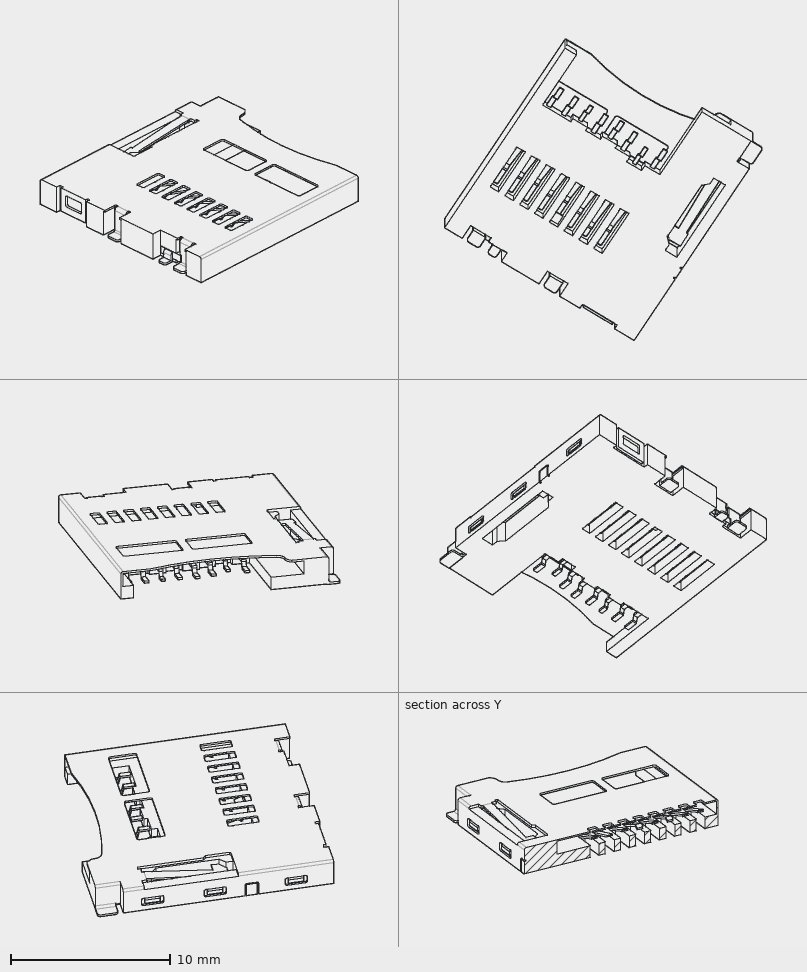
import cadquery as cq


WIDTH = 14.1
LENGTH = 15.2
HEIGHT = 1.88
SHEET = 0.13
FOLD_RADIUS = 0.15
BASE_BOTTOM = 0.04
FLOOR_TOP = 0.88
CAVITY_TOP = HEIGHT - SHEET
FOOT_THICKNESS = 0.15
PICK_MARGIN = 0.01

RIGHT_EDGE_Y = 14.2
STEP_X = 0.77
STEP_Y = 13.57
LIP_END_X = 4.55
MOUTH_LOW_POINT = (8.0, 13.59)
MOUTH_LEFT = (3.9, 14.09)
MOUTH_HOLLOW_MIDDLE = (3.59, 14.3)
MOUTH_INFLECTION = (3.5, 14.6)
MOUTH_CROWN_MIDDLE = (3.42, 14.95)
MOUTH_CROWN_END = (3.2, LENGTH)
MOUTH_RIGHT = (12.15, RIGHT_EDGE_Y)

CAVITY_LEFT = 2.4
CAVITY_RIGHT = WIDTH - SHEET
FLOOR_OPENING_RIGHT = 13.26
CAVITY_REAR = 2.0

CONTACT_COUNT = 8
FIRST_CONTACT_X = 5.12
PITCH = 1.1
STANDARD_TIP_Y = 4.96
TIP_Y = {1: 4.52, 3: 5.15, 5: 5.15}
STANDARD_FLOOR_EDGE_Y = 10.24
FLOOR_EDGE_Y = {1: 9.85, 3: 10.48, 5: 10.48}
STANDARD_TAIL_END_Y = 11.8
TAIL_END_Y = {1: 11.29, 3: 11.95}
TAIL_WIDTH = 0.31
NARROW_TAIL_WIDTH = 0.26
NARROW_TAILS = (1, 5)
BEAM_WIDTH = 0.42
BEAM_THICKNESS = 0.12
BEAM_TOP = 1.4
BEAM_CREST = 0.4
TIP_DROP = 0.27
TIP_RADIUS = 0.5
BEAM_ROOT_Y = 7.0
TAIL_EXIT_Z = 0.45
TAIL_STEP = 0.1
TAIL_BEND_DISTANCE = 0.8
SWITCH_ARM_INDEX = 3
SWITCH_ARM_END_Y = 4.47
SWITCH_ARM_END_TOP = 0.7
SWITCH_ARM_CREST_Y = 3.98

SLOT_WIDTH = 0.62
SLOT_REAR = 3.72
SLOT_FRONT = 5.71
SLOT_CORNER = 0.1
FLOOR_SLOT_REAR = SLOT_REAR + SHEET
WINDOW_REAR = 9.79
WINDOW_FRONT = 11.6
WINDOW_SPANS = ((4.73, 8.65), (9.24, 13.18))
WINDOW_CORNER = 0.15

POCKET_REAR = 6.14
POCKET_FRONT = 12.2
POCKET_STRIP_X = 0.7
POCKET_WALL_X = 1.94
POCKET_NARROW_X = 2.07
POCKET_WIDE_X = 2.26
POCKET_STEP_Y = 7.95
POCKET_WELL_X = 1.56
COVER_LEDGE_X = 1.88
COVER_LEDGE_Y = 12.02
FINGER_ROOT_Y = 11.9
FINGER_END_Y = 6.54
FINGER_HOOK_Y = 7.47
FINGER_END_TOP = 1.25
FINGER_SPAN = (0.83, 1.54)
FINGER_TAPER_X = 1.4
POCKET_FLOOR = 1.7
WELL_STEP = 0.05
WELL_FRONT = 11.85
WELL_SHOULDER_Y = 11.41

LATCH_CENTRES_Y = (2.42, 7.64, 11.67)
LATCH_LENGTH = 1.42
LATCH_BOTTOM = 0.42
LATCH_TOP = 1.0
LATCH_CORNER = 0.12
LUG_LENGTH = 1.0
LUG_BOTTOM = 0.57
LUG_SLOPE_Z = 0.82
LUG_TOP = LATCH_TOP
LUG_FACE_X = 0.02
SIDE_TAB_SPAN_Y = (4.84, 5.72)
SIDE_TAB_GAP = 0.09
SIDE_TAB_TOP_GAP = 0.06

PANEL_NOTCH = (1.45, 4.04)
PANEL_NOTCH_DEPTH = 0.3
PANEL_SPAN = (1.7, 3.87)
PANEL_INSET = 0.12
PANEL_BOTTOM = 0.18
PANEL_HOLE_SPAN = (2.12, 3.5)
PANEL_HOLE_BOTTOM = 0.68
PANEL_HOLE_TOP = 1.48
LEG_WIDTH = 0.94
LEG_CENTRES_X = (6.31, 12.02)
LEG_NOTCH_WIDTH = 1.3
LEG_WALL_NOTCH_WIDTH = 1.53
LEG_NOTCH_DEPTH = 1.0
LEG_FACE_Y = 0.72
LEG_BEND_RADIUS = 0.23
LEG_HEEL = 0.1
FOOT_CORNER = 0.2
REAR_OPENING_SPAN = (5.64, 6.93)
SWITCH_NOTCH = (9.88, 11.6)
SWITCH_NOTCH_DEPTH = 0.68
SWITCH_BLOCK_SPAN = (9.92, 11.66)
SWITCH_BLOCK_BOTTOM = 0.25
SWITCH_BLOCK_TOP = 0.75
SWITCH_FOOT_SPAN = (10.31, 10.94)
SWITCH_BLOCK_FACE_Y = 0.66
SWITCH_FACE_Y = 0.52
SWITCH_BEND_RADIUS = 0.25

TAB_REAR = 13.88
TAB_CORNER = 0.2
TAB_BEND = 0.3
TAB_RELIEF_TOP = 0.22


def box(x0, x1, y0, y1, z0, z1):
    return cq.Workplane("XY").box(x1 - x0, y1 - y0, z1 - z0, centered=False).translate((x0, y0, z0))


def prism(points, z0, z1):
    return cq.Workplane("XY").workplane(offset=z0).polyline(points).close().extrude(z1 - z0)


def profile_yz(points, x0, x1):
    """Prism with its section in the YZ plane, running from x0 to x1."""
    return cq.Workplane("YZ").workplane(offset=x0).polyline(points).close().extrude(x1 - x0)


def contact_x(index):
    return FIRST_CONTACT_X + index * PITCH


def outer_block():
    """Full plan of the body with the curved finger cut-out at the mouth."""
    outline = (
        cq.Workplane("XY").workplane(offset=BASE_BOTTOM)
        .moveTo(0, 0).lineTo(WIDTH, 0).lineTo(WIDTH, RIGHT_EDGE_Y).lineTo(*MOUTH_RIGHT)
        .threePointArc(MOUTH_LOW_POINT, MOUTH_LEFT)
        .threePointArc(MOUTH_HOLLOW_MIDDLE, MOUTH_INFLECTION)
        .threePointArc(MOUTH_CROWN_MIDDLE, MOUTH_CROWN_END)
        .lineTo(STEP_X, LENGTH).lineTo(STEP_X, STEP_Y).lineTo(0, STEP_Y).close()
    )
    return outline.extrude(HEIGHT - BASE_BOTTOM)


def round_side_folds(block):
    """Round the top edges of the left and right sides, which run along Y."""
    for x in (0, STEP_X, WIDTH):
        low = (x - PICK_MARGIN, -PICK_MARGIN, HEIGHT - PICK_MARGIN)
        high = (x + PICK_MARGIN, LENGTH + PICK_MARGIN, HEIGHT + PICK_MARGIN)
        block = block.edges("|Y").edges(cq.selectors.BoxSelector(low, high)).fillet(FOLD_RADIUS)
    return block


def card_space():
    """Cavity above the floor plus the open area of the base under the windows."""
    cavity = box(CAVITY_LEFT, CAVITY_RIGHT, CAVITY_REAR, LENGTH, FLOOR_TOP, CAVITY_TOP)
    opening = box(LIP_END_X, FLOOR_OPENING_RIGHT, STANDARD_FLOOR_EDGE_Y, LENGTH, 0, CAVITY_TOP)
    return cavity.union(opening)


def floor_lip():
    return box(STEP_X, LIP_END_X, STEP_Y, LENGTH, BASE_BOTTOM, FLOOR_TOP)


def shape_floor_edge(body):
    """Move the floor edge at the contacts whose tails leave further in or out."""
    for index, edge_y in FLOOR_EDGE_Y.items():
        x0 = contact_x(index) - PITCH / 2
        x1 = contact_x(index) + PITCH / 2
        if edge_y < STANDARD_FLOOR_EDGE_Y:
            body = body.cut(box(x0, x1, edge_y, STANDARD_FLOOR_EDGE_Y, 0, FLOOR_TOP))
        else:
            body = body.union(box(x0, x1, STANDARD_FLOOR_EDGE_Y - SHEET, edge_y, BASE_BOTTOM, FLOOR_TOP))
    return body


def cover_windows():
    cutter = cq.Workplane("XY")
    for x0, x1 in WINDOW_SPANS:
        window = box(x0, x1, WINDOW_REAR, WINDOW_FRONT, CAVITY_TOP, HEIGHT)
        cutter = cutter.add(window.edges("|Z").fillet(WINDOW_CORNER))
    return cutter.combine()


def contact_slots():
    """Slots through the cover, with longer slots in the floor for the contact beams."""
    cutter = cq.Workplane("XY")
    for index in range(CONTACT_COUNT):
        x0 = contact_x(index) - SLOT_WIDTH / 2
        x1 = contact_x(index) + SLOT_WIDTH / 2
        slot = box(x0, x1, SLOT_REAR, SLOT_FRONT, CAVITY_TOP, HEIGHT)
        cutter = cutter.add(slot.edges("|Z").fillet(SLOT_CORNER))
        cutter = cutter.add(box(x0, x1, FLOOR_SLOT_REAR, BEAM_ROOT_Y, 0, FLOOR_TOP))
    return cutter.combine()


def contact(index):
    """Sprung beam over the floor slot and solder tail beyond the floor edge."""
    x = contact_x(index)
    tip_y = TIP_Y.get(index, STANDARD_TIP_Y)
    crest_y = tip_y + BEAM_CREST
    root_y = BEAM_ROOT_Y + SHEET
    root_top = FLOOR_TOP - BEAM_THICKNESS
    beam_section = (
        cq.Workplane("YZ").workplane(offset=x - BEAM_WIDTH / 2)
        .moveTo(root_y, root_top).lineTo(crest_y, BEAM_TOP)
        .radiusArc((tip_y, BEAM_TOP - TIP_DROP), -TIP_RADIUS)
        .lineTo(tip_y + BEAM_THICKNESS, BEAM_TOP - TIP_DROP)
        .radiusArc((crest_y, BEAM_TOP - BEAM_THICKNESS), TIP_RADIUS - BEAM_THICKNESS)
        .lineTo(root_y, root_top - BEAM_THICKNESS).close()
    )
    beam = beam_section.extrude(BEAM_WIDTH)
    tail_width = NARROW_TAIL_WIDTH if index in NARROW_TAILS else TAIL_WIDTH
    tail_end = TAIL_END_Y.get(index, STANDARD_TAIL_END_Y)
    floor_edge = FLOOR_EDGE_Y.get(index, STANDARD_FLOOR_EDGE_Y)
    tail_start = floor_edge - SHEET
    bend_y = floor_edge + TAIL_BEND_DISTANCE
    tail = profile_yz(
        [
            (tail_start, TAIL_EXIT_Z),
            (bend_y - TAIL_STEP, TAIL_EXIT_Z),
            (bend_y, 0),
            (tail_end, 0),
            (tail_end, FOOT_THICKNESS),
            (bend_y, FOOT_THICKNESS),
            (bend_y - TAIL_STEP, TAIL_EXIT_Z + FOOT_THICKNESS),
            (tail_start, TAIL_EXIT_Z + FOOT_THICKNESS),
        ],
        x - tail_width / 2,
        x + tail_width / 2,
    )
    return beam.union(tail)


def switch_arm():
    """Sloping end of the card-detect arm inside a floor slot."""
    x = contact_x(SWITCH_ARM_INDEX)
    section = [
        (FLOOR_SLOT_REAR, FLOOR_TOP - BEAM_THICKNESS),
        (SWITCH_ARM_CREST_Y, FLOOR_TOP),
        (SWITCH_ARM_END_Y, SWITCH_ARM_END_TOP),
        (SWITCH_ARM_END_Y, SWITCH_ARM_END_TOP - BEAM_THICKNESS),
        (FLOOR_SLOT_REAR, SWITCH_ARM_END_TOP - BEAM_THICKNESS),
    ]
    return profile_yz(section, x - SLOT_WIDTH / 2, x + SLOT_WIDTH / 2)


def latch_pocket():
    """Opening in the cover beside the left edge."""
    bevel = POCKET_WIDE_X - POCKET_NARROW_X
    outline = [
        (0, POCKET_REAR),
        (POCKET_WIDE_X - bevel / 2, POCKET_REAR),
        (POCKET_WIDE_X, POCKET_REAR + bevel / 2),
        (POCKET_WIDE_X, POCKET_STEP_Y - bevel),
        (POCKET_NARROW_X, POCKET_STEP_Y),
        (POCKET_NARROW_X, POCKET_FRONT),
        (COVER_LEDGE_X, POCKET_FRONT),
        (COVER_LEDGE_X, COVER_LEDGE_Y),
        (FINGER_SPAN[1], COVER_LEDGE_Y),
        (FINGER_SPAN[1], FINGER_ROOT_Y),
        (POCKET_STRIP_X, FINGER_ROOT_Y),
        (POCKET_STRIP_X, POCKET_FRONT),
        (0, POCKET_FRONT),
    ]
    return prism(outline, POCKET_FLOOR, HEIGHT)


def latch_well():
    """Well right through the base below the pocket."""
    corner = POCKET_WALL_X - POCKET_WELL_X
    outline = [
        (POCKET_STRIP_X, POCKET_REAR),
        (POCKET_WELL_X, POCKET_REAR),
        (POCKET_WELL_X, FINGER_END_Y + WELL_STEP),
        (POCKET_WALL_X, FINGER_END_Y + WELL_STEP + corner),
        (POCKET_WALL_X, WELL_SHOULDER_Y - corner),
        (POCKET_WELL_X, WELL_SHOULDER_Y),
        (POCKET_WELL_X, WELL_FRONT),
        (POCKET_STRIP_X, WELL_FRONT),
    ]
    return prism(outline, 0, CAVITY_TOP)


def latch_finger():
    """Tapered spring finger of the cover, sloping down to a hooked end."""
    hook_corner = POCKET_WALL_X - POCKET_WELL_X
    plan = prism(
        [
            (FINGER_SPAN[0], POCKET_FRONT),
            (FINGER_SPAN[0], FINGER_HOOK_Y),
            (POCKET_STRIP_X, FINGER_HOOK_Y),
            (POCKET_STRIP_X, FINGER_END_Y),
            (POCKET_WELL_X, FINGER_END_Y),
            (POCKET_WALL_X, FINGER_END_Y + hook_corner),
            (POCKET_WALL_X, FINGER_HOOK_Y),
            (FINGER_TAPER_X, FINGER_HOOK_Y),
            (FINGER_SPAN[1], POCKET_FRONT),
        ],
        0,
        HEIGHT,
    )
    slope = profile_yz(
        [
            (FINGER_END_Y, FINGER_END_TOP),
            (FINGER_ROOT_Y, HEIGHT),
            (POCKET_FRONT, HEIGHT),
            (POCKET_FRONT, CAVITY_TOP),
            (FINGER_ROOT_Y, CAVITY_TOP),
            (FINGER_END_Y, FINGER_END_TOP - SHEET),
        ],
        0,
        POCKET_WIDE_X,
    )
    return plan.intersect(slope)


def side_latches(body):
    """Windows in the left side of the cover, each with a ramped plastic lug inside."""
    for y in LATCH_CENTRES_Y:
        window = box(0, SHEET, y - LATCH_LENGTH / 2, y + LATCH_LENGTH / 2, LATCH_BOTTOM, LATCH_TOP)
        body = body.cut(window.edges("|X").fillet(LATCH_CORNER))
        lug_section = [
            (SHEET, LUG_BOTTOM),
            (LUG_FACE_X, LUG_BOTTOM),
            (LUG_FACE_X, LUG_SLOPE_Z),
            (SHEET, LUG_TOP),
        ]
        lug = cq.Workplane("XZ").polyline(lug_section).close().extrude(LUG_LENGTH)
        lug = lug.translate((0, y + LUG_LENGTH / 2, 0))
        body = body.union(lug)
    return body


def side_tab_groove():
    """Gap around the tab at the lower edge of the left side."""
    y0, y1 = SIDE_TAB_SPAN_Y
    outer = box(0, SHEET, y0, y1, 0, LATCH_TOP)
    tab = box(0, SHEET, y0 + SIDE_TAB_GAP, y1 - SIDE_TAB_GAP, 0, LATCH_TOP - SIDE_TAB_TOP_GAP)
    return outer.edges("|X and >Z").fillet(LATCH_CORNER).cut(tab)


def rear_panel(body):
    """Inset panel with a shallow rectangular pocket at the left of the rear side."""
    body = body.cut(box(*PANEL_NOTCH, 0, PANEL_NOTCH_DEPTH, 0, HEIGHT))
    panel = box(*PANEL_SPAN, PANEL_INSET, PANEL_NOTCH_DEPTH, PANEL_BOTTOM, HEIGHT)
    panel = panel.edges("|Y and <Z").fillet(SLOT_CORNER)
    hole = box(*PANEL_HOLE_SPAN, PANEL_INSET, PANEL_NOTCH_DEPTH, PANEL_HOLE_BOTTOM, PANEL_HOLE_TOP)
    return body.union(panel.cut(hole.edges("|Y").fillet(SLOT_CORNER)))


def leg_notch(x):
    sheet_half = LEG_NOTCH_WIDTH / 2
    wall_half = LEG_WALL_NOTCH_WIDTH / 2
    sheet_notch = box(x - sheet_half, x + sheet_half, 0, LEG_NOTCH_DEPTH, 0, HEIGHT)
    return sheet_notch.union(box(x - wall_half, x + wall_half, 0, LEG_NOTCH_DEPTH, 0, CAVITY_TOP))


def leg(x):
    """Strip bent down from the cover, ending in a solder foot."""
    half = LEG_WIDTH / 2
    upright = box(x - half, x + half, LEG_FACE_Y, LEG_NOTCH_DEPTH, 0, HEIGHT)
    upright = upright.edges("|X and >Z and <Y").fillet(LEG_BEND_RADIUS)
    inside = box(x - half, x + half, LEG_FACE_Y + SHEET, LEG_NOTCH_DEPTH, 0, CAVITY_TOP)
    foot = box(x - half, x + half, 0, LEG_FACE_Y + SHEET, 0, FOOT_THICKNESS)
    foot = foot.edges("|Z and <Y").fillet(FOOT_CORNER)
    heel = (
        cq.Workplane("YZ").workplane(offset=x - half)
        .moveTo(LEG_FACE_Y - LEG_HEEL, FOOT_THICKNESS)
        .radiusArc((LEG_FACE_Y, FOOT_THICKNESS + LEG_HEEL), -LEG_HEEL)
        .lineTo(LEG_FACE_Y, FOOT_THICKNESS).close().extrude(LEG_WIDTH)
    )
    return upright.cut(inside).union(foot).union(heel)


def switch_contact():
    """Terminal of the card-detect switch: plastic block, bent strip and foot."""
    block = box(*SWITCH_BLOCK_SPAN, SWITCH_BLOCK_FACE_Y, LEG_NOTCH_DEPTH + SHEET,
                SWITCH_BLOCK_BOTTOM, SWITCH_BLOCK_TOP)
    strip = box(*SWITCH_FOOT_SPAN, SWITCH_FACE_Y, LEG_NOTCH_DEPTH, BASE_BOTTOM, SWITCH_BLOCK_TOP)
    strip = strip.edges("|X and >Z and <Y").fillet(SWITCH_BEND_RADIUS)
    foot = box(*SWITCH_FOOT_SPAN, 0, SWITCH_NOTCH_DEPTH, 0, FOOT_THICKNESS)
    foot = foot.edges("|Z and <Y").fillet(FOOT_CORNER)
    return block.union(strip).union(foot)


def mouth_tab():
    """Solder tab bent outward from the left side at the mouth."""
    tab = box(0, STEP_X + SHEET, TAB_REAR, LENGTH, 0, FOOT_THICKNESS)
    tab = tab.edges("|Z and <X").fillet(TAB_CORNER)
    bend = (
        cq.Workplane("XZ")
        .moveTo(STEP_X - TAB_BEND / 2, FOOT_THICKNESS)
        .radiusArc((STEP_X, FOOT_THICKNESS + TAB_BEND / 2), -TAB_BEND / 2)
        .lineTo(STEP_X, FOOT_THICKNESS).close()
        .extrude(LENGTH - TAB_REAR).translate((0, LENGTH, 0))
    )
    return tab.union(bend)


body = round_side_folds(outer_block())
body = body.cut(card_space()).union(floor_lip())
body = shape_floor_edge(body)
body = body.cut(cover_windows()).cut(contact_slots())

body = body.cut(latch_pocket()).cut(latch_well())
body = body.union(latch_finger())
body = side_latches(body).cut(side_tab_groove())

body = rear_panel(body)
body = body.cut(box(*SWITCH_NOTCH, 0, SWITCH_NOTCH_DEPTH, 0, HEIGHT))
for leg_x in LEG_CENTRES_X:
    body = body.cut(leg_notch(leg_x))
body = body.cut(box(*REAR_OPENING_SPAN, LEG_NOTCH_DEPTH, CAVITY_REAR, FLOOR_TOP, CAVITY_TOP))
for leg_x in LEG_CENTRES_X:
    body = body.union(leg(leg_x))
body = body.cut(box(STEP_X, STEP_X + SHEET, STEP_Y, TAB_REAR, 0, TAB_RELIEF_TOP))
body = body.union(switch_contact()).union(mouth_tab())

for contact_index in range(CONTACT_COUNT):
    body = body.union(contact(contact_index))

body = body.union(switch_arm())

result = body